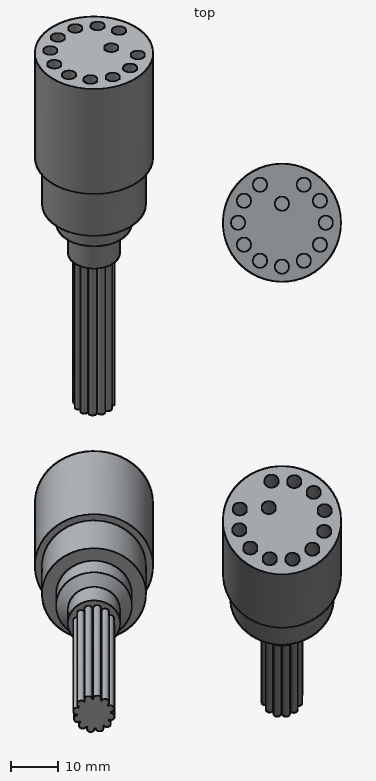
import cadquery as cq
import math

total_height = 93.5

head_diameter = 25.0
head_height = 28.05
body_diameter = 22.0
body_height = 12.3
collar_diameter = 16.0
collar_height = 5.1
neck_diameter = 11.0
cone_height = 1.9
neck_height = 6.0

wire_count = 12
bundle_diameter = 8.9
wire_diameter = 1.7
core_diameter = 7.1

hole_diameter = 3.0
hole_depth = head_height / 2
hole_ring_radius = 9.3
ring_position_count = 12
key_hole_radius = 4.0

head_bottom = total_height - head_height
body_bottom = head_bottom - body_height
collar_bottom = body_bottom - collar_height
cone_bottom = collar_bottom - cone_height
neck_bottom = cone_bottom - neck_height


def polar_point(radius, degrees):
    angle = math.radians(degrees)
    return (radius * math.cos(angle), radius * math.sin(angle))


def make_body():
    """Revolve the stepped half profile about the Z axis."""
    profile = [
        (0, neck_bottom),
        (neck_diameter / 2, neck_bottom),
        (neck_diameter / 2, cone_bottom),
        (collar_diameter / 2, collar_bottom),
        (collar_diameter / 2, body_bottom),
        (body_diameter / 2, body_bottom),
        (body_diameter / 2, head_bottom),
        (head_diameter / 2, head_bottom),
        (head_diameter / 2, total_height),
        (0, total_height),
    ]
    return cq.Workplane("XZ").polyline(profile).close().revolve(360, (0, 0), (0, 1))


def make_cable():
    """Core cylinder with a ring of parallel wires partly sunk in it."""
    ring_radius = (bundle_diameter - wire_diameter) / 2
    wire_step = 360 / wire_count
    wire_centers = [polar_point(ring_radius, i * wire_step) for i in range(wire_count)]
    core = cq.Workplane("XY").circle(core_diameter / 2).extrude(neck_bottom)
    wires = cq.Workplane("XY").pushPoints(wire_centers).circle(wire_diameter / 2).extrude(neck_bottom)
    return core.union(wires)


def make_contact_holes():
    """A ring of holes whose +Y position is moved inward as the key."""
    key_angle = 90
    ring_step = 360 / ring_position_count
    centers = [polar_point(key_hole_radius, key_angle)]
    for i in range(1, ring_position_count):
        centers.append(polar_point(hole_ring_radius, key_angle + i * ring_step))
    return (
        cq.Workplane("XY", origin=(0, 0, total_height))
        .pushPoints(centers)
        .circle(hole_diameter / 2)
        .extrude(-hole_depth)
    )


result = make_body().union(make_cable()).cut(make_contact_holes())